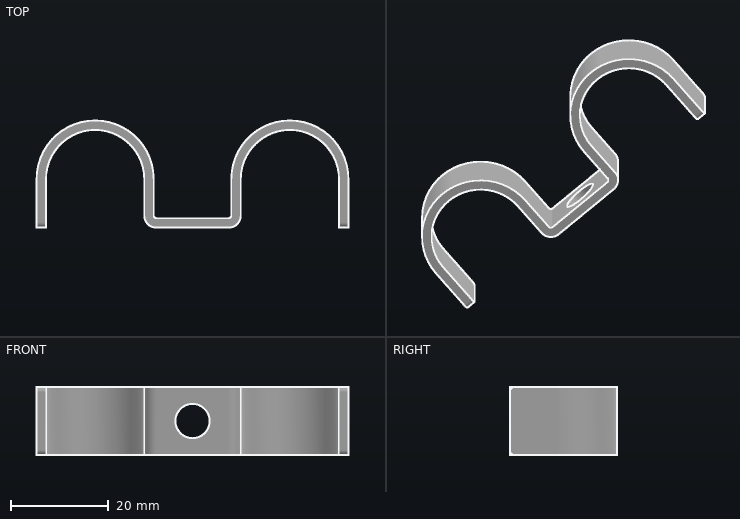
import cadquery as cq

length = 64.0
depth = 22.0
width = 14.0

thickness = 2.0
lobe_outer_radius = 12.0
bend_inner_radius = 0.5
tip_corner_radius = 1.0
hole_diameter = 7.0

lobe_inner_radius = lobe_outer_radius - thickness
bend_outer_radius = bend_inner_radius + thickness
lobe_center_x = length / 2 - lobe_outer_radius
foot_y = lobe_outer_radius - depth
leg_length = -foot_y
plate_half_length = lobe_center_x - lobe_inner_radius


def extrude_strip(sketch):
    """Extrude an XY profile across the strip width, centred on Z = 0."""
    return sketch.extrude(width).translate((0, 0, -width / 2))


def make_lobe(side):
    """Half-round lobe with its free outer leg, on the side given by the sign."""
    center_x = side * lobe_center_x
    ring = extrude_strip(
        cq.Workplane("XY").center(center_x, 0).circle(lobe_outer_radius).circle(lobe_inner_radius)
    )
    upper_half = cq.Workplane("XY").box(
        length, lobe_outer_radius, width, centered=(True, False, True)
    )
    leg_x = side * (length - thickness) / 2
    leg = extrude_strip(
        cq.Workplane("XY").center(leg_x, foot_y / 2).rect(thickness, leg_length)
    )
    leg = leg.faces("<Y").edges("|X").fillet(tip_corner_radius)
    return ring.intersect(upper_half).union(leg)


def make_saddle():
    """Inner legs and mounting plate, joined by rounded bends."""
    plate_inner_half = plate_half_length - thickness
    outer_block = extrude_strip(
        cq.Workplane("XY").center(0, foot_y / 2).rect(2 * plate_half_length, leg_length)
    )
    outer_block = outer_block.faces("<Y").edges("|Z").fillet(bend_outer_radius)
    opening = extrude_strip(
        cq.Workplane("XY")
        .center(0, (foot_y + thickness) / 2)
        .rect(2 * plate_inner_half, leg_length - thickness)
    )
    opening = opening.faces("<Y").edges("|Z").fillet(bend_inner_radius)
    plate_back = cq.Workplane("XZ", origin=(0, foot_y + thickness, 0))
    hole = plate_back.circle(hole_diameter / 2).extrude(thickness)
    return outer_block.cut(opening).cut(hole)


result = make_saddle().union(make_lobe(-1)).union(make_lobe(1))